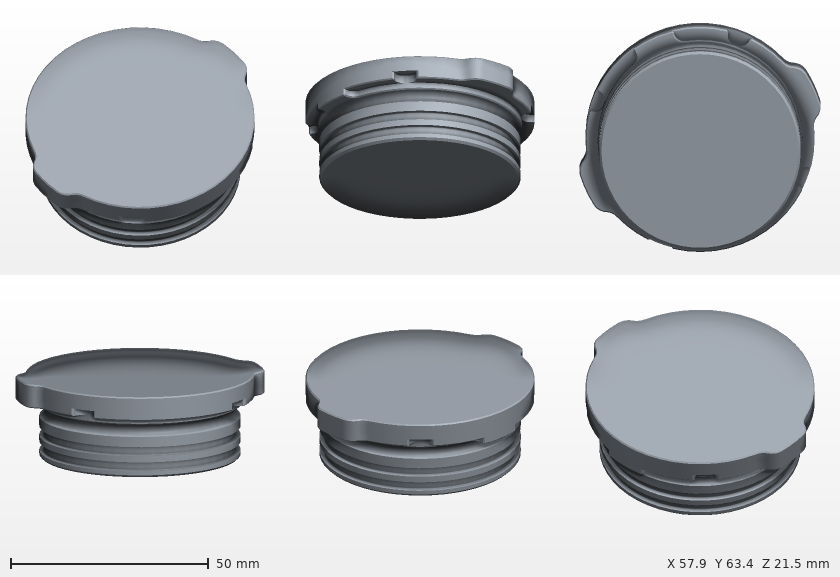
import cadquery as cq
import math

total_height = 21.5
lip_top = 1.6
lower_groove_top = 3.95
middle_rib_top = 5.5
upper_groove_top = 7.85
collar_top = 10.45
disc_bottom = 13.7
cap_bottom = 15.4

rib_radius = 50.95 / 2
groove_radius = 48.7 / 2
neck_throat_radius = 23.9
bottom_chamfer = 0.6
groove_fillet = 0.25

cap_radius = 57.9 / 2
tab_tip_radius = 31.7
tab_blend_radius = 4.0
tab_tip_half_width = 4.05
edge_chamfer = 0.3

disc_radius = 25.9
key_direction = 180
key_half_angle = 11.3
inner_fillet = 2.5

notch_count = 4
notch_height = 2.0
notch_half_width = 2.85
notch_mouth_half_width = 3.35


def polar(radius, angle):
    """Point at an angle measured from the +X axis, in radians."""
    return (radius * math.cos(angle), radius * math.sin(angle))


def arc_middle(centre, start, end, radius):
    """Middle point of the short arc from start to end about centre."""
    toward_middle = ((start + end) * 0.5 - centre).normalized()
    return centre + toward_middle * radius


def add_groove(profile, bottom, top):
    """Continue a rising profile through a ring groove with rounded inner corners."""
    floor = groove_radius
    arc_inset = groove_fillet * (1 - math.sqrt(0.5))
    return (
        profile.lineTo(rib_radius, bottom)
        .lineTo(floor + groove_fillet, bottom)
        .threePointArc((floor + arc_inset, bottom + arc_inset), (floor, bottom + groove_fillet))
        .lineTo(floor, top - groove_fillet)
        .threePointArc((floor + arc_inset, top - arc_inset), (floor + groove_fillet, top))
        .lineTo(rib_radius, top)
    )


def make_plug():
    """Revolved body: lip, two grooves, rib, collar and waisted neck."""
    neck_middle = (collar_top + disc_bottom) / 2
    profile = (
        cq.Workplane("XZ")
        .lineTo(rib_radius - bottom_chamfer, 0)
        .lineTo(rib_radius, bottom_chamfer)
    )
    profile = add_groove(profile, lip_top, lower_groove_top)
    profile = add_groove(profile, middle_rib_top, upper_groove_top)
    profile = (
        profile.lineTo(rib_radius, collar_top)
        .threePointArc((neck_throat_radius, neck_middle), (rib_radius, disc_bottom))
        .lineTo(0, disc_bottom)
        .close()
    )
    return profile.revolve(360, (0, 0, 0), (0, 1, 0))


def make_cap():
    """Round cap whose finger tabs blend in through two tangent arcs per side."""
    tip_centre_distance = tab_tip_radius - tab_blend_radius
    root_centre_distance = cap_radius + tab_blend_radius
    tip_angle = math.asin(tab_tip_half_width / tab_tip_radius)
    centre_gap = 2 * tab_blend_radius
    between = math.acos(
        (tip_centre_distance**2 + root_centre_distance**2 - centre_gap**2)
        / (2 * tip_centre_distance * root_centre_distance)
    )
    root_angle = tip_angle + between
    tip_centre = cq.Vector(*polar(tip_centre_distance, math.pi / 2 - tip_angle))
    root_centre = cq.Vector(*polar(root_centre_distance, math.pi / 2 - root_angle))
    blend_joint = (tip_centre + root_centre) * 0.5
    tip_end = cq.Vector(*polar(tab_tip_radius, math.pi / 2 - tip_angle))
    root_end = cq.Vector(*polar(cap_radius, math.pi / 2 - root_angle))

    tip_middle = arc_middle(tip_centre, tip_end, blend_joint, tab_blend_radius)
    root_middle = arc_middle(root_centre, blend_joint, root_end, tab_blend_radius)

    def corner(point, x_sign, y_sign):
        return (x_sign * point.x, y_sign * point.y)

    outline = cq.Workplane("XY", origin=(0, 0, cap_bottom)).moveTo(*corner(tip_end, -1, 1))
    for side in (1, -1):
        outline = (
            outline.threePointArc((0, side * tab_tip_radius), corner(tip_end, side, side))
            .threePointArc(corner(tip_middle, side, side), corner(blend_joint, side, side))
            .threePointArc(corner(root_middle, side, side), corner(root_end, side, side))
            .threePointArc((side * cap_radius, 0), corner(root_end, side, -side))
            .threePointArc(corner(root_middle, side, -side), corner(blend_joint, side, -side))
            .threePointArc(corner(tip_middle, side, -side), corner(tip_end, side, -side))
        )
    cap = outline.close().extrude(total_height - cap_bottom)
    return cap.faces("<Z or >Z").edges().chamfer(edge_chamfer)


def wall_fillet(wall_y, outward):
    """Fillet between the disc's round side and a wall at y = wall_y that runs along +X.

    outward is 1 when the fillet lies beyond the wall and -1 when it lies on the axis side.
    Returns its end on the disc, its middle and its end on the wall.
    """
    centre_distance = disc_radius + inner_fillet
    centre_y = wall_y + outward * inner_fillet
    centre = cq.Vector(math.sqrt(centre_distance**2 - centre_y**2), centre_y)
    disc_end = centre * (disc_radius / centre_distance)
    wall_end = cq.Vector(centre.x, wall_y)
    return disc_end, arc_middle(centre, disc_end, wall_end, inner_fillet), wall_end


def make_disc():
    """Locating disc with its key, reaching into the cap to close the chamfer above the key.

    The key has radial walls, filleted into the disc and bevelled at the tip.
    """
    half_angle = math.radians(key_half_angle)
    points = [cq.Vector(*polar(cap_radius, half_angle - edge_chamfer / cap_radius))]
    points.append(cq.Vector(*polar(cap_radius - edge_chamfer, half_angle)))
    for point in reversed(wall_fillet(0, 1)):
        turned = math.atan2(point.y, point.x) + half_angle
        points.append(cq.Vector(*polar(point.Length, turned)))
    tip, bevel_end, wall_end, fillet_middle, disc_end = points
    disc = (
        cq.Workplane("XY", origin=(0, 0, disc_bottom))
        .moveTo(disc_end.x, disc_end.y)
        .threePointArc((-disc_radius, 0), (disc_end.x, -disc_end.y))
        .threePointArc((fillet_middle.x, -fillet_middle.y), (wall_end.x, -wall_end.y))
        .lineTo(bevel_end.x, -bevel_end.y)
        .lineTo(tip.x, -tip.y)
        .threePointArc((cap_radius, 0), (tip.x, tip.y))
        .lineTo(bevel_end.x, bevel_end.y)
        .lineTo(wall_end.x, wall_end.y)
        .threePointArc((fillet_middle.x, fillet_middle.y), (disc_end.x, disc_end.y))
        .close()
        .extrude(cap_bottom + edge_chamfer - disc_bottom)
    )
    disc = disc.faces("<Z").edges().chamfer(edge_chamfer)
    return disc.rotate((0, 0, 0), (0, 0, 1), key_direction)


def make_notch_cutter():
    """Cutter on the +X side: floor on the disc radius, large corner fillets and a flared mouth."""
    disc_end, fillet_middle, wall_end = wall_fillet(notch_half_width, -1)
    mouth_x = math.sqrt(cap_radius**2 - notch_mouth_half_width**2)
    return (
        cq.Workplane("XY", origin=(0, 0, cap_bottom))
        .moveTo(disc_end.x, -disc_end.y)
        .threePointArc((disc_radius, 0), (disc_end.x, disc_end.y))
        .threePointArc((fillet_middle.x, fillet_middle.y), (wall_end.x, wall_end.y))
        .lineTo(mouth_x, notch_mouth_half_width)
        .lineTo(tab_tip_radius, notch_mouth_half_width)
        .lineTo(tab_tip_radius, -notch_mouth_half_width)
        .lineTo(mouth_x, -notch_mouth_half_width)
        .lineTo(wall_end.x, -wall_end.y)
        .threePointArc((fillet_middle.x, -fillet_middle.y), (disc_end.x, -disc_end.y))
        .close()
        .extrude(notch_height)
    )


def cut_notches(body):
    """Cut the notches midway between the X and Y axes."""
    pitch = 360 / notch_count
    cutter = make_notch_cutter()
    for index in range(notch_count):
        body = body.cut(cutter.rotate((0, 0, 0), (0, 0, 1), (index + 0.5) * pitch))
    return body


result = cut_notches(make_plug().union(make_disc()).union(make_cap()))